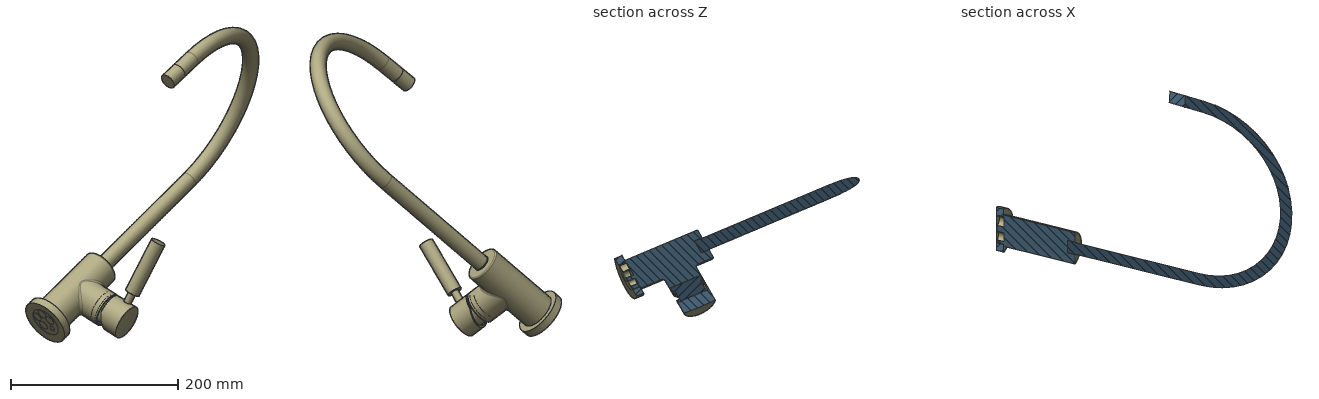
import cadquery as cq
import math


overall_width = 107.0
overall_length = 402.0

flange_radius = 60.0 / 2
flange_height = 10.0
skin_thickness = 1.0
spigot_radius = 19.3

column_radius = 44.5 / 2
column_top = 107.0
column_edge_fillet = 1.5
collar_radius = 10.0
collar_height = 1.2

hose_hole_radius = 6.0
hose_hole_centres = [(-5.5, 11.3), (6.5, 8.5), (-13.0, 0.0), (-3.2, -9.0)]
stud_hole_radius = 3.5
stud_hole_centre = (10.0, -4.5)

arm_radius = 43.0 / 2
arm_y = 61.5
arm_end = 46.2
arm_fillet = 3.2

cartridge_back = 37.5
cartridge_shoulder = 43.5
cartridge_radius = 20.0
neck_radius = 17.5

cap_radius = arm_radius
cap_bore_radius = 19.3
cap_floor = 59.0
cap_start = 48.5
cap_rim = 76.0
cap_tip = overall_width - flange_radius
bevel_angle = 23.0

lever_x = 64.7
lever_lean = 45.0
pin_radius = 5.0
pin_seat_depth = 4.0
pin_start = cap_radius - pin_seat_depth
grip_radius = 18.0 / 2
grip_start = 34.5
lever_length = 104.5

spout_radius = 19.5 / 2
spout_depth = 10.0
bend_radius = 117.5
bend_angle = 177.5
straight_length = 25.0
aerator_length = 21.0

bend_start = overall_length - spout_radius - bend_radius
tip_tilt = math.radians(180.0 - bend_angle)


def rod_y(radius, start, end):
    """Cylinder on the column axis from Y = start to Y = end."""
    return cq.Workplane("XZ", origin=(0, start, 0)).circle(radius).extrude(start - end)


def rod_x(radius, start, end):
    """Cylinder on the arm axis from X = start to X = end."""
    return cq.Workplane("YZ", origin=(start, arm_y, 0)).circle(radius).extrude(end - start)


def rod_lever(radius, start, end):
    """Cylinder on the lever axis, between two distances from the cap axis."""
    upright = cq.Workplane("XY", origin=(0, 0, start)).circle(radius).extrude(end - start)
    return upright.rotate((0, 0, 0), (1, 0, 0), -lever_lean).translate((lever_x, arm_y, 0))


def make_flange():
    plate = rod_y(flange_radius, 0, flange_height)
    return plate.cut(rod_y(spigot_radius, skin_thickness, flange_height))


def make_housing():
    column = rod_y(column_radius, flange_height, column_top)
    column = column.faces(">Y").edges().fillet(column_edge_fillet)
    housing = column.union(rod_x(arm_radius, 0, arm_end))
    joint = [edge for edge in housing.edges().vals() if edge.geomType() not in ("LINE", "CIRCLE")]
    housing = housing.newObject(joint).fillet(arm_fillet)

    housing = housing.union(rod_y(spigot_radius, skin_thickness, flange_height))
    housing = housing.union(rod_y(collar_radius, column_top - collar_height, column_top + collar_height))
    for x, z in hose_hole_centres:
        housing = housing.cut(rod_y(hose_hole_radius, skin_thickness, flange_height).translate((x, 0, z)))
    stud_x, stud_z = stud_hole_centre
    stud_hole = rod_y(stud_hole_radius, skin_thickness, flange_height)
    housing = housing.cut(stud_hole.translate((stud_x, 0, stud_z)))

    housing = housing.cut(rod_y(spout_radius, column_top - spout_depth, column_top + collar_height))
    return housing.cut(rod_x(cartridge_radius, cartridge_back, arm_end))


def make_cartridge():
    body = rod_x(cartridge_radius, cartridge_back, cartridge_shoulder)
    return body.union(rod_x(neck_radius, cartridge_shoulder, cap_floor))


def make_cap():
    dome_height = cap_tip - cap_rim
    dome_radius = (cap_radius**2 + dome_height**2) / (2 * dome_height)
    half_section = (
        cq.Workplane("XY", origin=(0, arm_y, 0))
        .moveTo(cap_start, 0)
        .lineTo(cap_start, cap_radius)
        .lineTo(cap_rim, cap_radius)
        .radiusArc((cap_tip, 0), dome_radius)
        .close()
    )
    cap = half_section.revolve(360, (0, 0, 0), (1, 0, 0))

    reach = 2 * cap_radius
    bevel = (
        cq.Workplane("XZ", origin=(cap_start, 0, 0))
        .polyline([(0, 0), (0, -reach), (reach * math.tan(math.radians(bevel_angle)), -reach)])
        .close()
        .extrude(reach, both=True)
        .rotate((0, 0, 0), (1, 0, 0), -lever_lean)
        .translate((0, arm_y, 0))
    )
    cap = cap.cut(bevel).cut(rod_x(cap_bore_radius, cap_start, cap_floor))
    return cap.cut(rod_lever(pin_radius, pin_start, grip_start))


def make_lever():
    pin = rod_lever(pin_radius, pin_start, grip_start)
    return pin.union(rod_lever(grip_radius, grip_start, lever_length))


def spout_point(angle):
    """(y, z) of the bend centreline after turning by an angle in degrees."""
    turn = math.radians(angle)
    return bend_start + bend_radius * math.sin(turn), bend_radius * (1 - math.cos(turn))


bend_end = spout_point(bend_angle)
spout_end = (
    bend_end[0] - straight_length * math.cos(tip_tilt),
    bend_end[1] + straight_length * math.sin(tip_tilt),
)


def make_spout():
    path = (
        cq.Workplane("YZ")
        .moveTo(column_top - spout_depth, 0)
        .lineTo(bend_start, 0)
        .threePointArc(spout_point(bend_angle / 2), bend_end)
        .lineTo(*spout_end)
    )
    start = cq.Workplane("XZ", origin=(0, column_top - spout_depth, 0))
    return start.circle(spout_radius).sweep(path)


def make_aerator():
    outlet_direction = cq.Vector(0, -math.cos(tip_tilt), math.sin(tip_tilt))
    joint = cq.Plane(origin=(0, *spout_end), xDir=(1, 0, 0), normal=outlet_direction)
    return cq.Workplane(joint).circle(spout_radius).extrude(aerator_length)


flange = make_flange()
housing = make_housing()
cartridge = make_cartridge()
cap = make_cap()
lever = make_lever()
spout = make_spout()
aerator = make_aerator()

result = cq.Compound.makeCompound(
    [
        flange.val(),
        housing.val(),
        cartridge.val(),
        cap.val(),
        lever.val(),
        spout.val(),
        aerator.val(),
    ]
)